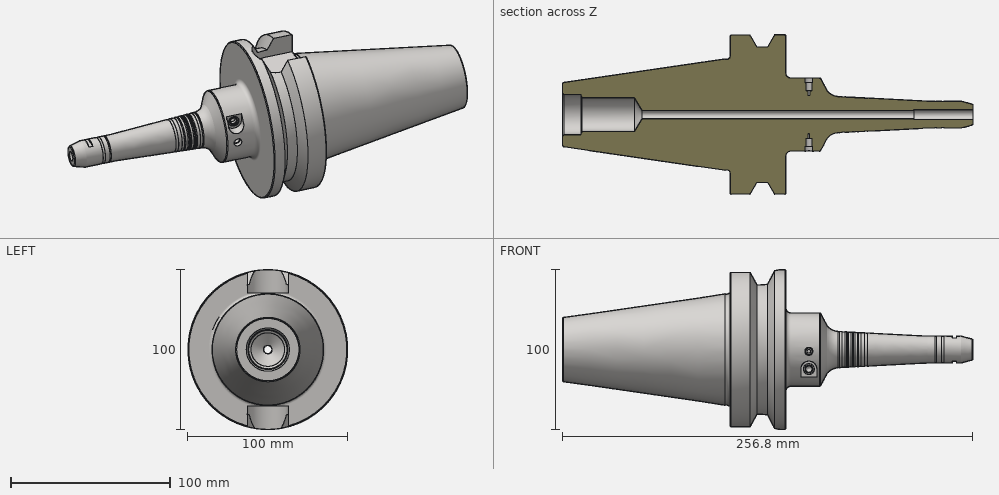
import cadquery as cq
import math


TAPER_LENGTH = 101.8
GAUGE_RADIUS = 69.85 / 2
TAPER_RATIO = 7 / 48
TAPER_END_CHAMFER = 0.6
NECK_RADIUS = 34.7
NECK_FILLET = 2.0

FLANGE_BACK = 3.0
FLANGE_FRONT = 38.0
FLANGE_RADIUS = 50.0
FLANGE_CHAMFER = 0.6
GROOVE_CENTRE = 23.2
GROOVE_FLOOR_WIDTH = 6.6
GROOVE_FLOOR_RADIUS = 42.5
GROOVE_FLANK_ANGLE = math.radians(30)

KEY_WIDTH = 25.7
KEY_END = 33.8
KEY_FLOOR_HEIGHT = 35.3

COLLAR_RADIUS = 23.0
COLLAR_FILLET = 3.0
COLLAR_END = 59.7
COLLAR_EDGE_LENGTH = 0.7
COLLAR_EDGE_DROP = 0.3
SHOULDER_ARC_ANGLE = math.radians(50)
SHOULDER_ARC_RADIUS = 9.4

NOSE_END = 155.0
NOSE_RADIUS = 17 / 2
NOSE_CONE_END = 126.7
NOSE_CONE_ANGLE = math.radians(3)
NOSE_CONE_START = 70.6
TIP_START = 147.5
TIP_ANGLE = math.radians(15)
TIP_CHAMFER = 0.6

RING_DEPTH = 0.15
RING_GROOVES = [
    (70.6, 71.4),
    (72.9, 74.9),
    (75.7, 76.4),
    (77.2, 78.7),
    (79.5, 80.2),
    (81.0, 82.6),
    (83.4, 84.9),
    (87.2, 88.9),
    (131.3, 132.1),
    (135.2, 136.7),
]

FLAT_START = 142.1
FLAT_END = 144.6
FLAT_HALF_WIDTH = 4.3

MOUTH_RADIUS = 27 / 2
PILOT_RADIUS = 25 / 2
PILOT_DEPTH = 11.5
THREAD_MOUTH_RADIUS = 24 / 2
THREAD_MOUTH_ANGLE = math.radians(60)
THREAD_RADIUS = 21 / 2
THREAD_DEPTH = 45.0
DRILL_POINT_ANGLE = math.radians(59)
CHANNEL_RADIUS = 5 / 2
TOOL_RADIUS = 6 / 2
TOOL_DEPTH = 37.0

CROSS_HOLE_X = 52.3
POCKET_RADIUS = 10 / 2
POCKET_HEIGHT = 12.2
POCKET_FLOOR = 15.5
SCREW_RIM_RADIUS = 6.8 / 2
SCREW_RIM_DEPTH = 0.5
SCREW_STEP_RADIUS = 5 / 2
SCREW_STEP_DEPTH = 1.0
SOCKET_RADIUS = 4 / 2
SOCKET_DEPTH = 3.0
VENT_RADIUS = 5 / 2
VENT_BOTTOM_RADIUS = 4.1 / 2
VENT_HEIGHT = 1.1
VENT_STEP = 20.0
VENT_FLOOR = 15.0
VENT_BORE_RADIUS = 2.31 / 2
VENT_BORE_END = 12.0


def nose_cone_radius(x):
    """Radius of the tapered part of the nose at X."""
    return NOSE_RADIUS + max(0, NOSE_CONE_END - x) * math.tan(NOSE_CONE_ANGLE)


def revolve_about_x(sketch):
    return sketch.close().revolve(360, (0, 0, 0), (1, 0, 0))


def arc_point(centre, radius, angle_degrees):
    """Point on a circle, the angle counted from +X."""
    angle = math.radians(angle_degrees)
    return (centre[0] + radius * math.cos(angle), centre[1] + radius * math.sin(angle))


def make_body():
    """Outer shape without grooves, slots and holes."""
    taper_end = -TAPER_LENGTH
    taper_end_radius = GAUGE_RADIUS - TAPER_LENGTH * TAPER_RATIO
    chamfered_radius = taper_end_radius + TAPER_END_CHAMFER * TAPER_RATIO

    groove_back = GROOVE_CENTRE - GROOVE_FLOOR_WIDTH / 2
    groove_front = GROOVE_CENTRE + GROOVE_FLOOR_WIDTH / 2
    flank = (FLANGE_RADIUS - GROOVE_FLOOR_RADIUS) * math.tan(GROOVE_FLANK_ANGLE)

    neck_centre = (FLANGE_BACK - NECK_FILLET, NECK_RADIUS + NECK_FILLET)
    collar_centre = (FLANGE_FRONT + COLLAR_FILLET, COLLAR_RADIUS + COLLAR_FILLET)

    nose_start_radius = nose_cone_radius(NOSE_CONE_START)
    arc_centre = (
        NOSE_CONE_START + SHOULDER_ARC_RADIUS * math.sin(NOSE_CONE_ANGLE),
        nose_start_radius + SHOULDER_ARC_RADIUS * math.cos(NOSE_CONE_ANGLE),
    )

    def shoulder_point(slope):
        return (
            arc_centre[0] - SHOULDER_ARC_RADIUS * math.sin(slope),
            arc_centre[1] - SHOULDER_ARC_RADIUS * math.cos(slope),
        )

    tip_radius = NOSE_RADIUS - (NOSE_END - TIP_CHAMFER - TIP_START) * math.tan(TIP_ANGLE)

    profile = (
        cq.Workplane("XY")
        .moveTo(taper_end, 0)
        .lineTo(taper_end, taper_end_radius - TAPER_END_CHAMFER)
        .lineTo(taper_end + TAPER_END_CHAMFER, chamfered_radius)
        .lineTo(0, GAUGE_RADIUS)
        .lineTo(0, NECK_RADIUS)
        .lineTo(neck_centre[0], NECK_RADIUS)
        .threePointArc(
            arc_point(neck_centre, NECK_FILLET, -45), (FLANGE_BACK, neck_centre[1])
        )
        .lineTo(FLANGE_BACK, FLANGE_RADIUS - FLANGE_CHAMFER)
        .lineTo(FLANGE_BACK + FLANGE_CHAMFER, FLANGE_RADIUS)
        .lineTo(groove_back - flank, FLANGE_RADIUS)
        .lineTo(groove_back, GROOVE_FLOOR_RADIUS)
        .lineTo(groove_front, GROOVE_FLOOR_RADIUS)
        .lineTo(groove_front + flank, FLANGE_RADIUS)
        .lineTo(FLANGE_FRONT - FLANGE_CHAMFER, FLANGE_RADIUS)
        .lineTo(FLANGE_FRONT, FLANGE_RADIUS - FLANGE_CHAMFER)
        .lineTo(FLANGE_FRONT, collar_centre[1])
        .threePointArc(
            arc_point(collar_centre, COLLAR_FILLET, 225), (collar_centre[0], COLLAR_RADIUS)
        )
        .lineTo(COLLAR_END - COLLAR_EDGE_LENGTH, COLLAR_RADIUS)
        .lineTo(COLLAR_END, COLLAR_RADIUS - COLLAR_EDGE_DROP)
        .lineTo(*shoulder_point(SHOULDER_ARC_ANGLE))
        .threePointArc(
            shoulder_point((SHOULDER_ARC_ANGLE + NOSE_CONE_ANGLE) / 2),
            (NOSE_CONE_START, nose_start_radius),
        )
        .lineTo(NOSE_CONE_END, NOSE_RADIUS)
        .lineTo(TIP_START, NOSE_RADIUS)
        .lineTo(NOSE_END - TIP_CHAMFER, tip_radius)
        .lineTo(NOSE_END, tip_radius - TIP_CHAMFER)
        .lineTo(NOSE_END, 0)
    )
    return revolve_about_x(profile)


def make_bore():
    """Drawbar bore, through channel and tool bore along the axis."""
    back = -TAPER_LENGTH
    thread_end = back + THREAD_DEPTH
    point_end = thread_end + (THREAD_RADIUS - CHANNEL_RADIUS) / math.tan(DRILL_POINT_ANGLE)
    thread_mouth = (THREAD_MOUTH_RADIUS - THREAD_RADIUS) / math.tan(THREAD_MOUTH_ANGLE)
    tool_start = NOSE_END - TOOL_DEPTH
    profile = (
        cq.Workplane("XY")
        .moveTo(back, 0)
        .lineTo(back, MOUTH_RADIUS)
        .lineTo(back + MOUTH_RADIUS - PILOT_RADIUS, PILOT_RADIUS)
        .lineTo(back + PILOT_DEPTH, PILOT_RADIUS)
        .lineTo(back + PILOT_DEPTH, THREAD_MOUTH_RADIUS)
        .lineTo(back + PILOT_DEPTH + thread_mouth, THREAD_RADIUS)
        .lineTo(thread_end, THREAD_RADIUS)
        .lineTo(point_end, CHANNEL_RADIUS)
        .lineTo(tool_start, CHANNEL_RADIUS)
        .lineTo(tool_start, TOOL_RADIUS)
        .lineTo(NOSE_END, TOOL_RADIUS)
        .lineTo(NOSE_END, 0)
    )
    return revolve_about_x(profile)


def make_key_slot():
    """Slot for one drive key, on the +Z side, with a round front end."""
    end_radius = KEY_WIDTH / 2
    straight_end = KEY_END - end_radius
    return (
        cq.Workplane("XY", origin=(0, 0, KEY_FLOOR_HEIGHT))
        .moveTo(0, -end_radius)
        .lineTo(straight_end, -end_radius)
        .threePointArc((KEY_END, 0), (straight_end, end_radius))
        .lineTo(0, end_radius)
        .close()
        .extrude(FLANGE_RADIUS - KEY_FLOOR_HEIGHT)
    )


def make_ring_groove(start, end):
    """Shallow groove whose floor follows the nose surface."""
    outer = COLLAR_RADIUS
    profile = (
        cq.Workplane("XY")
        .moveTo(start, outer)
        .lineTo(start, nose_cone_radius(start) - RING_DEPTH)
        .lineTo(end, nose_cone_radius(end) - RING_DEPTH)
        .lineTo(end, outer)
    )
    return revolve_about_x(profile)


def make_tip_flat():
    """Cutter for the flat on the +Z side of the tip."""
    floor = math.sqrt(NOSE_RADIUS**2 - FLAT_HALF_WIDTH**2)
    return cq.Workplane("XY").box(
        FLAT_END - FLAT_START, 2 * NOSE_RADIUS, NOSE_RADIUS, centered=(True, True, False)
    ).translate(((FLAT_START + FLAT_END) / 2, 0, floor))


def drill_inward(height, start, radius, length):
    """Cylinder on the -Y side that starts at Y = -start, lies at Z = -height and runs toward +Y."""
    return cq.Workplane("XZ", origin=(CROSS_HOLE_X, -start, -height)).circle(radius).extrude(-length)


def make_screw_pocket():
    """Open pocket on the -Y side with the socket of the clamping screw in its floor."""
    depth = COLLAR_RADIUS - POCKET_FLOOR
    pocket = drill_inward(POCKET_HEIGHT, COLLAR_RADIUS, POCKET_RADIUS, depth)
    outlet = cq.Workplane("XY").box(
        2 * POCKET_RADIUS, depth, COLLAR_RADIUS - POCKET_HEIGHT, centered=(True, False, False)
    ).translate((CROSS_HOLE_X, -COLLAR_RADIUS, -COLLAR_RADIUS))
    rim = drill_inward(POCKET_HEIGHT, POCKET_FLOOR, SCREW_RIM_RADIUS, SCREW_RIM_DEPTH)
    step = drill_inward(POCKET_HEIGHT, POCKET_FLOOR, SCREW_STEP_RADIUS, SCREW_STEP_DEPTH)
    socket = drill_inward(POCKET_HEIGHT, POCKET_FLOOR, SOCKET_RADIUS, SOCKET_DEPTH)
    point = cq.Workplane(
        cq.Solid.makeCone(
            SOCKET_RADIUS,
            0,
            SOCKET_RADIUS / math.tan(DRILL_POINT_ANGLE),
            cq.Vector(CROSS_HOLE_X, SOCKET_DEPTH - POCKET_FLOOR, -POCKET_HEIGHT),
            cq.Vector(0, 1, 0),
        )
    )
    return pocket.union(outlet).union(rim).union(step).union(socket).union(point)


def make_vent():
    """Stepped vent hole on the -Y side."""
    wide = drill_inward(VENT_HEIGHT, COLLAR_RADIUS, VENT_RADIUS, COLLAR_RADIUS - VENT_STEP)
    narrow = drill_inward(VENT_HEIGHT, VENT_STEP, VENT_BOTTOM_RADIUS, VENT_STEP - VENT_FLOOR)
    bore = drill_inward(VENT_HEIGHT, VENT_FLOOR, VENT_BORE_RADIUS, VENT_FLOOR - VENT_BORE_END)
    return wide.union(narrow).union(bore)


result = make_body().cut(make_bore())

for start, end in RING_GROOVES:
    result = result.cut(make_ring_groove(start, end))

for cutter in (make_key_slot(), make_tip_flat(), make_screw_pocket(), make_vent()):
    for turn in (0, 180):
        result = result.cut(cutter.rotate((0, 0, 0), (1, 0, 0), turn))